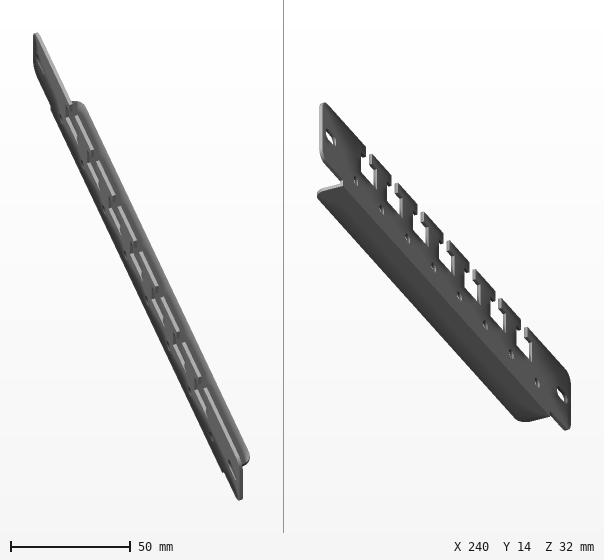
import cadquery as cq

length = 240.0
depth = 14.0
height = 32.0
thickness = 1.5
corner_radius = 5.0

flange_length = 200.0
end_step = 3.0

hole_count = 8
opening_count = hole_count - 1
pitch = flange_length / hole_count
hole_diameter = 4.3
hole_height = 9.5

throat_width = 6.0
throat_depth = 5.0
window_width = 15.0
opening_depth = 15.0

slot_length = 10.0
slot_width = 5.0
slot_inset = 8.5
slot_height = (end_step + height) / 2


def row_positions(count):
    """X positions of a row centred on the plate."""
    return [(i - (count - 1) / 2) * pitch for i in range(count)]


def wall_block(width, bottom, top, x=0):
    """Block as thick as the upright plate, spanning bottom to top in Z."""
    block = cq.Workplane("XY").box(width, thickness, top - bottom, centered=(True, False, False))
    return block.translate((x, 0, bottom))


def make_plate():
    plate = wall_block(length, end_step, height).edges("|Y").fillet(corner_radius)
    return plate.union(wall_block(flange_length, 0, height - corner_radius))


def make_flange():
    flange = cq.Workplane("XY").box(flange_length, depth, thickness, centered=(True, False, False))
    return flange.edges("|Z and >Y").fillet(corner_radius)


def make_opening(x):
    throat = wall_block(throat_width, height - throat_depth, height, x)
    window = wall_block(window_width, height - opening_depth, height - throat_depth, x)
    return throat.union(window)


def make_holes():
    points = [(x, hole_height) for x in row_positions(hole_count)]
    return cq.Workplane("XZ").pushPoints(points).circle(hole_diameter / 2).extrude(-thickness)


def make_slots():
    slot_x = length / 2 - slot_inset
    points = [(-slot_x, slot_height), (slot_x, slot_height)]
    return cq.Workplane("XZ").pushPoints(points).slot2D(slot_length, slot_width).extrude(-thickness)


result = make_plate().union(make_flange())
for opening_x in row_positions(opening_count):
    result = result.cut(make_opening(opening_x))
result = result.cut(make_holes()).cut(make_slots())